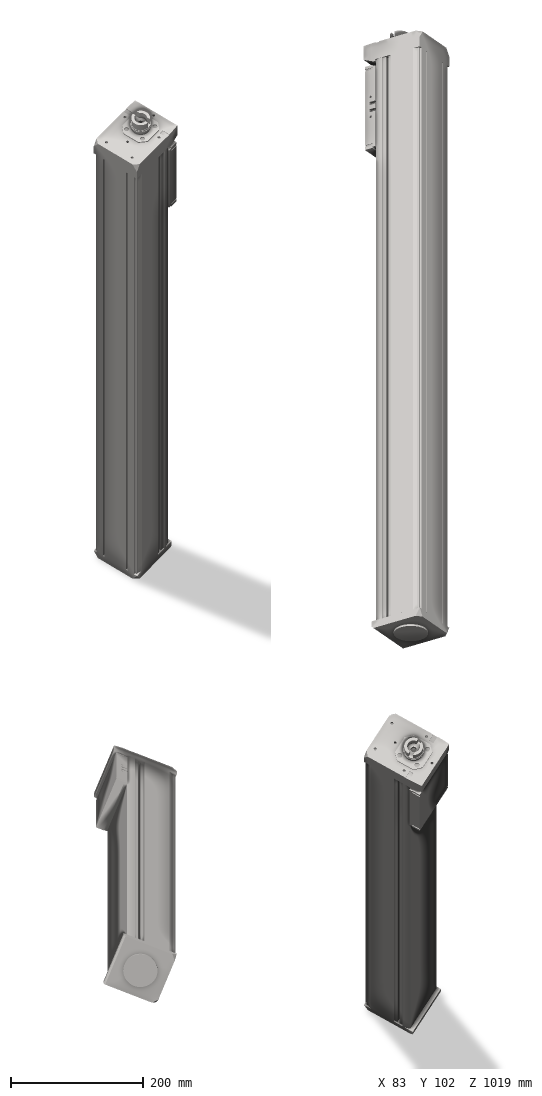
import cadquery as cq
import math

width = 83.0
depth = 102.0
height = 1019.0
foot_height = 3.0
bottom_cap_top = 15.0
top_cap_bottom = 965.0
top_cap_top = 994.0
half_width = width / 2

housing_back = 81.0
corner_flat_x = 36.0
corner_ledge_x = 39.0
corner_ledge_y = 3.0
corner_slope_start_y = 6.0
corner_slope_end_y = 12.0
back_curve_start_y = 68.0
back_curve_angle = math.radians(25)
side_recess_depth = 2.0
side_recess_front_y = 53.0
side_slot_y = 60.0
side_slot_width = 4.0
side_slot_depth = 8.0

window_half_width = 23.0
window_face_half_width = 20.0
window_step_y = 3.0
window_back_y = 9.0

corner_cut = (8.0, 7.0, 12.0)
taper_start_y = 89.0
taper_inset = 1.0
hook_bottom = 962.0
hook_back_y = 84.0
back_wall_bottom = 970.0
bottom_cap_depth = 87.0
bottom_cap_chamfer = 3.0
foot_diameter = 52.0
foot_y = 43.0

connector_y = 63.0
flange_width = 49.0
flange_corner = 10.0
flange_top = 996.0
flange_hole_diameter = 7.4
flange_hole_offset = 15.0
neck_diameter = 29.0
collar_bottom = 1001.0
collar_diameter = 31.0
collar_step = 1004.0
collar_step_diameter = 30.0
collar_top = 1007.0
plug_diameter = 29.0
plug_bore_diameter = 19.0
contact_hole_diameter = 9.0
contact_hole_depth = 5.0
plug_slot_width = 7.0
plug_slot_y = 66.0

screw_diameter = 10.0
screw_length = 8.0
socket_diameter = 5.0
socket_depth = 3.0
screw_places = [(sign * x, y) for x, y in [(24.0, 10.0), (33.0, 66.0)] for sign in (-1, 1)]
cap_hole_diameter = 4.2
cap_hole_depth = 6.0
cap_hole_offset = 33.0
edge_notch_depth = 1.0
edge_notch_length = 12.0
edge_notch_front_y = 73.0
edge_notch_back_y = 81.0

module_bottom = 817.0
module_top = 957.0
module_back = 99.0
module_half_width = half_width
module_end_step_y = 86.0
module_end_step = 2.0
end_groove_width = 3.0
end_groove_depth = 1.0
end_groove_offset = 6.0
side_hole_diameter = 4.0
side_hole_depth = 5.0
side_hole_y = 89.0
side_hole_offset = 16.8
side_notch_height = 5.0
side_notch_offset = 6.0
side_notch_back_y = 91.0


def block(x_range, y_range, z_range):
    """Box between the given limits."""
    x0, x1 = x_range
    y0, y1 = y_range
    z0, z1 = z_range
    return cq.Workplane("XY").box(x1 - x0, y1 - y0, z1 - z0, centered=False).translate((x0, y0, z0))


def cylinder(diameter, x, y, z0, z1):
    """Upright cylinder between two levels."""
    return cq.Workplane("XY", origin=(x, y, z0)).circle(diameter / 2).extrude(z1 - z0)


def side_extrusion(points, reach):
    """Outline of (Y, Z) points, extruded from -reach to +reach along X."""
    return cq.Workplane("YZ").polyline(points).close().extrude(reach, both=True)


def cut_front_corners(cap, corner_z, up):
    """Cut the two front corners of a cap by sloping planes; up is +1 for the top, -1 for the bottom."""
    cut_x, cut_y, cut_z = corner_cut
    cutter_size = 31.0
    for side in (-1, 1):
        plane = cq.Plane(
            origin=(side * half_width, 0, corner_z - up * cut_z),
            xDir=(-side * cut_x, 0, up * cut_z),
            normal=(side / cut_x, -1 / cut_y, up / cut_z),
        )
        cap = cap.cut(cq.Workplane(plane).rect(cutter_size, cutter_size).extrude(cutter_size / 2))
    return cap


def mirrored_block(inner_x, outer_x, y_range, z_range):
    """Two boxes, one on either side of the YZ plane."""
    right = block((inner_x, outer_x), y_range, z_range)
    return right.union(right.mirror("YZ"))


def make_housing():
    curve_radius = (housing_back - back_curve_start_y) / math.sin(back_curve_angle)

    def curve_point(angle):
        inset = curve_radius * (1 - math.cos(angle))
        return half_width - inset, back_curve_start_y + curve_radius * math.sin(angle)

    half = (
        cq.Workplane("XY", origin=(0, 0, bottom_cap_top))
        .moveTo(0, 0)
        .lineTo(corner_flat_x, 0)
        .lineTo(corner_flat_x, corner_ledge_y)
        .lineTo(corner_ledge_x, corner_ledge_y)
        .lineTo(corner_ledge_x, corner_slope_start_y)
        .lineTo(half_width, corner_slope_end_y)
        .lineTo(half_width, back_curve_start_y)
        .threePointArc(curve_point(back_curve_angle / 2), curve_point(back_curve_angle))
        .lineTo(0, housing_back)
        .close()
        .extrude(top_cap_bottom - bottom_cap_top)
    )
    housing = half.union(half.mirror("YZ"))
    span = (bottom_cap_top, top_cap_bottom)
    recesses = mirrored_block(
        half_width - side_recess_depth, half_width, (side_recess_front_y, back_curve_start_y), span
    )
    slots = mirrored_block(
        half_width - side_slot_depth,
        half_width,
        (side_slot_y - side_slot_width / 2, side_slot_y + side_slot_width / 2),
        span,
    )
    window_seat = block((-window_half_width, window_half_width), (0, window_back_y), span)
    return housing.cut(recesses).cut(slots).cut(window_seat)


def make_window():
    span = (bottom_cap_top, top_cap_bottom)
    pane = block((-window_half_width, window_half_width), (window_step_y, window_back_y), span)
    face = block((-window_face_half_width, window_face_half_width), (0, window_step_y), span)
    return pane.union(face)


def make_top_cap():
    cap = side_extrusion(
        [
            (0, top_cap_bottom),
            (housing_back, top_cap_bottom),
            (housing_back, hook_bottom),
            (hook_back_y, hook_bottom),
            (depth, back_wall_bottom),
            (depth, top_cap_top),
            (0, top_cap_top),
        ],
        half_width,
    )
    plan = (
        cq.Workplane("XY", origin=(0, 0, hook_bottom))
        .polyline(
            [
                (-half_width, 0),
                (half_width, 0),
                (half_width, taper_start_y),
                (half_width - taper_inset, depth),
                (taper_inset - half_width, depth),
                (-half_width, taper_start_y),
            ]
        )
        .close()
        .extrude(top_cap_top - hook_bottom)
    )
    cap = cut_front_corners(cap.intersect(plan), top_cap_top, 1)
    for x, y in screw_places:
        cap = cap.cut(cylinder(screw_diameter, x, y, top_cap_top - screw_length, top_cap_top))
    for offset in (-cap_hole_offset, cap_hole_offset):
        hole_floor = top_cap_top - cap_hole_depth
        cap = cap.cut(cylinder(cap_hole_diameter, 0, connector_y + offset, hole_floor, top_cap_top))
    edge_notches = mirrored_block(
        half_width - edge_notch_length,
        half_width,
        (edge_notch_front_y, edge_notch_back_y),
        (top_cap_top - edge_notch_depth, top_cap_top),
    )
    return cap.cut(edge_notches)


def make_bottom_cap():
    cap = side_extrusion(
        [
            (0, foot_height),
            (bottom_cap_depth - bottom_cap_chamfer, foot_height),
            (bottom_cap_depth, foot_height + bottom_cap_chamfer),
            (bottom_cap_depth, bottom_cap_top),
            (0, bottom_cap_top),
        ],
        half_width,
    )
    cap = cut_front_corners(cap, foot_height, -1)
    return cap.union(cylinder(foot_diameter, 0, foot_y, 0, foot_height))


def make_connector():
    flange = (
        cq.Workplane("XY", origin=(0, connector_y, top_cap_top))
        .rect(flange_width, flange_width)
        .extrude(flange_top - top_cap_top)
        .edges("|Z")
        .chamfer(flange_corner)
        .faces(">Z")
        .workplane(origin=(0, connector_y, flange_top))
        .rect(2 * flange_hole_offset, 2 * flange_hole_offset, forConstruction=True)
        .vertices()
        .hole(flange_hole_diameter)
    )
    neck = cylinder(neck_diameter, 0, connector_y, flange_top, collar_bottom)
    collar = cylinder(collar_diameter, 0, connector_y, collar_bottom, collar_step)
    collar = collar.union(cylinder(collar_step_diameter, 0, connector_y, collar_step, collar_top))
    contact_hole_floor = collar_top - contact_hole_depth
    collar = collar.cut(cylinder(contact_hole_diameter, 0, connector_y, contact_hole_floor, collar_top))
    plug = cylinder(plug_diameter, 0, connector_y, collar_top, height)
    bore = cylinder(plug_bore_diameter, 0, connector_y, collar_top, height)
    slot = block(
        (-plug_diameter / 2, plug_diameter / 2),
        (plug_slot_y - plug_slot_width / 2, plug_slot_y + plug_slot_width / 2),
        (collar_top, height),
    )
    return flange.union(neck).union(collar).union(plug.cut(bore).cut(slot))


def make_screw(x, y):
    shank = cylinder(screw_diameter, x, y, top_cap_top - screw_length, top_cap_top)
    socket = (
        cq.Workplane("XY", origin=(x, y, top_cap_top - socket_depth))
        .polygon(6, socket_diameter)
        .extrude(socket_depth)
    )
    return shank.cut(socket)


def make_module():
    module = side_extrusion(
        [
            (housing_back, module_bottom + module_end_step),
            (module_end_step_y, module_bottom + module_end_step),
            (module_end_step_y, module_bottom),
            (module_back, module_bottom),
            (module_back, module_top),
            (module_end_step_y, module_top),
            (module_end_step_y, module_top - module_end_step),
            (housing_back, module_top - module_end_step),
        ],
        module_half_width,
    )
    for groove_z in (module_bottom + end_groove_offset, module_top - end_groove_offset):
        grooves = mirrored_block(
            module_half_width - end_groove_depth,
            module_half_width,
            (module_end_step_y, module_back),
            (groove_z - end_groove_width / 2, groove_z + end_groove_width / 2),
        )
        module = module.cut(grooves)
    middle_z = (module_bottom + module_top) / 2
    for sign in (-1, 1):
        hole = (
            cq.Workplane("YZ", origin=(-module_half_width, side_hole_y, middle_z + sign * side_hole_offset))
            .circle(side_hole_diameter / 2)
            .extrude(side_hole_depth)
        )
        notch_z = middle_z + sign * side_notch_offset
        notch = block(
            (-module_half_width, side_hole_depth - module_half_width),
            (housing_back, side_notch_back_y),
            (notch_z - side_notch_height / 2, notch_z + side_notch_height / 2),
        )
        module = module.cut(hole).cut(notch)
    return module


housing = make_housing()
window = make_window()
top_cap = make_top_cap()
bottom_cap = make_bottom_cap()
connector = make_connector()
module = make_module()
screws = [make_screw(x, y) for x, y in screw_places]

result = cq.Compound.makeCompound(
    [
        housing.val(),
        window.val(),
        top_cap.val(),
        bottom_cap.val(),
        connector.val(),
        module.val(),
        *[screw.val() for screw in screws],
    ]
)